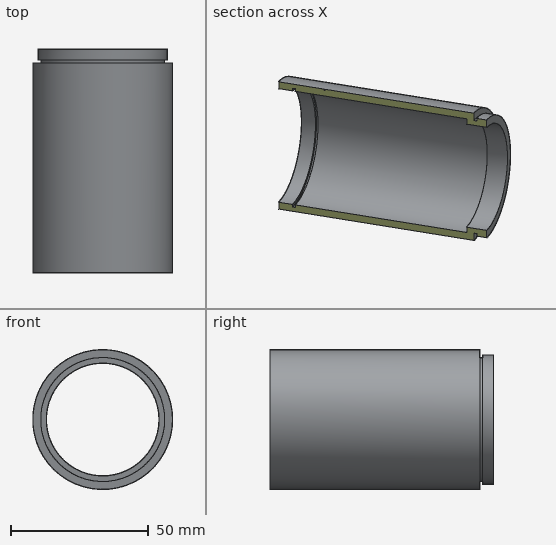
import cadquery as cq

body_diameter = 50.8
body_length = 76.2
mouth_bore_diameter = 45.0

spigot_diameter = 47.0
spigot_length = 4.0
relief_diameter = 45.0
relief_width = 1.0
spigot_bore_diameter = 40.8

ring_groove_offset = 5.5
ring_groove_width = 1.0
ring_groove_depth = 1.0

total_length = body_length + relief_width + spigot_length
bore_floor_thickness = (body_diameter - mouth_bore_diameter) / 2
wide_bore_length = body_length - bore_floor_thickness


def cylinder(diameter, start, length):
    """Solid cylinder about the Y axis, running from Y = start toward +Y."""
    base = cq.Workplane("XZ", origin=(0, start, 0))
    return base.circle(diameter / 2).extrude(-length)


def outer_form():
    body = cylinder(body_diameter, 0, body_length)
    relief = cylinder(relief_diameter, body_length, relief_width)
    spigot = cylinder(spigot_diameter, body_length + relief_width, spigot_length)
    return body.union(relief).union(spigot)


def inner_form():
    through_bore = cylinder(spigot_bore_diameter, 0, total_length)
    wide_bore = cylinder(mouth_bore_diameter, 0, wide_bore_length)
    ring_groove_diameter = mouth_bore_diameter + 2 * ring_groove_depth
    ring_groove = cylinder(ring_groove_diameter, ring_groove_offset, ring_groove_width)
    return through_bore.union(wide_bore).union(ring_groove)


result = outer_form().cut(inner_form())